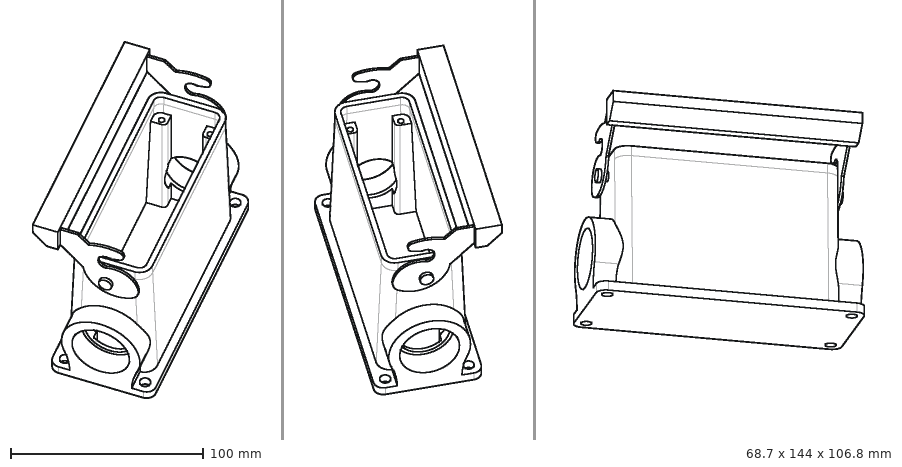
import cadquery as cq
import math

LENGTH = 144.0
PLATE_WIDTH = 57.6
PLATE_HEIGHT = 5.0
PLATE_CORNER_RADIUS = 5.2
PLATE_HOLE_RADIUS = 2.9
PLATE_HOLE_X = 22.3
PLATE_HOLE_Y = 65.7

BOX_TOP = 84.1
RIM_HEIGHT = 5.3
RIM_BOTTOM = BOX_TOP - RIM_HEIGHT
BOX_HALF_LENGTH = 59.9
BOX_TOP_HALF_WIDTH = 21.5
BOX_FOOT_HALF_WIDTH = 24.2
BOX_CORNER_RADIUS = 7.2
WALL = 3.2
CAVITY_FOOT_HALF_LENGTH = 56.3
FLOOR_TOP = PLATE_HEIGHT

POST_TOP = 71.4
POST_INNER_X = 10.0
POST_INNER_Y = 49.1
POST_CORNER_RADIUS = 2.3
SCREW_HOLE_RADIUS = 1.6
SCREW_HOLE_X = 13.5
SCREW_HOLE_Y = 52.0
SCREW_HOLE_DEPTH = 11.5

ENTRY_Z = 27.2
ENTRY_RADIUS = 21.9
ENTRY_FOOT_HALF_WIDTH = 17.3
BORE_RADIUS = 16.0
BORE_DEPTH = 13.4
NECK_RADIUS = 14.0
CONE_END_RADIUS = 10.4

BAR_HALF_LENGTH = 67.0
BAR_LEFT = -39.9
BAR_RIGHT = -25.8
BAR_TOP = 106.8
BAR_BOTTOM = 92.9
BAR_CHAMFER = 7.9
ARM_TOP = 105.7
ARM_INNER_Y = 62.5
ARM_THICKNESS = 1.5
PIVOT_Z = 74.0
PIVOT_RADIUS = 2.6
PIVOT_HEAD_RADIUS = 3.6
PIVOT_HEAD_END_Y = 65.8

ENDS = (-1, 1)
CORNERS = [(sx, sy) for sx in ENDS for sy in ENDS]


def along_y(points, half_length):
    """Prism centred on Y = 0 from a closed polygon of (x, z) points."""
    return cq.Workplane("XZ").polyline(points).close().extrude(half_length, both=True)


def rounded_rectangle(half_width, half_length, radius):
    return cq.Sketch().rect(2 * half_width, 2 * half_length).vertices().fillet(radius)


def cylinder_y(radius, z, y_start, y_end):
    """Cylinder parallel to Y through X = 0."""
    direction = cq.Vector(0, y_end - y_start, 0)
    solid = cq.Solid.makeCylinder(radius, abs(y_end - y_start), cq.Vector(0, y_start, z), direction)
    return cq.Workplane(solid)


def cylinder_z(radius, x, y, z_bottom, z_top):
    solid = cq.Solid.makeCylinder(radius, z_top - z_bottom, cq.Vector(x, y, z_bottom))
    return cq.Workplane(solid)


def outer_box():
    """Solid box with rounded corners, drafted along its sides and straight at the ends."""
    half_outline = [
        (BOX_FOOT_HALF_WIDTH, PLATE_HEIGHT),
        (BOX_TOP_HALF_WIDTH, RIM_BOTTOM),
        (BOX_TOP_HALF_WIDTH, BOX_TOP),
    ]
    mirrored = [(-x, z) for x, z in reversed(half_outline)]
    box = along_y(half_outline + mirrored, BOX_HALF_LENGTH)
    return box.faces("<Y or >Y").edges("not |X").fillet(BOX_CORNER_RADIUS)


def box_cavity():
    """Inside of the box: widens like the outer sides, closes in slightly at the ends."""
    radius = BOX_CORNER_RADIUS - WALL
    rim_outline = rounded_rectangle(BOX_TOP_HALF_WIDTH - WALL, BOX_HALF_LENGTH - WALL, radius)
    foot_outline = rounded_rectangle(BOX_FOOT_HALF_WIDTH - WALL, CAVITY_FOOT_HALF_LENGTH, radius)
    rim_location = cq.Location(cq.Vector(0, 0, RIM_BOTTOM - FLOOR_TOP))
    rim = cq.Workplane("XY").workplane(offset=RIM_BOTTOM).placeSketch(rim_outline).extrude(RIM_HEIGHT)
    lower = (
        cq.Workplane("XY")
        .workplane(offset=FLOOR_TOP)
        .placeSketch(foot_outline, rim_outline.moved(rim_location))
        .loft()
    )
    return lower.union(rim)


def base_plate():
    plate = cq.Workplane("XY").rect(PLATE_WIDTH, LENGTH).extrude(PLATE_HEIGHT)
    return plate.edges("|Z").fillet(PLATE_CORNER_RADIUS)


def entry_block():
    """Round cable entry block over the full length, standing on a flared foot."""
    drop = ENTRY_Z - PLATE_HEIGHT
    foot_radius = (drop**2 + ENTRY_FOOT_HALF_WIDTH**2 - ENTRY_RADIUS**2) / (
        2 * (ENTRY_RADIUS - ENTRY_FOOT_HALF_WIDTH)
    )
    foot_centre_x = ENTRY_FOOT_HALF_WIDTH + foot_radius
    slope = math.atan2(drop, foot_centre_x)
    joint_x = ENTRY_RADIUS * math.cos(slope)
    joint_z = ENTRY_Z - ENTRY_RADIUS * math.sin(slope)
    mid_x = foot_centre_x - foot_radius * math.cos(slope / 2)
    mid_z = PLATE_HEIGHT + foot_radius * math.sin(slope / 2)
    return (
        cq.Workplane("XZ")
        .moveTo(-ENTRY_FOOT_HALF_WIDTH, 0)
        .lineTo(ENTRY_FOOT_HALF_WIDTH, 0)
        .lineTo(ENTRY_FOOT_HALF_WIDTH, PLATE_HEIGHT)
        .threePointArc((mid_x, mid_z), (joint_x, joint_z))
        .threePointArc((0, ENTRY_Z + ENTRY_RADIUS), (-joint_x, joint_z))
        .threePointArc((-mid_x, mid_z), (-ENTRY_FOOT_HALF_WIDTH, PLATE_HEIGHT))
        .close()
        .extrude(LENGTH / 2, both=True)
    )


def screw_post(side_x, side_y, cavity):
    """Upright post with a rounded inner corner, trimmed to the cavity walls."""
    size_x = BOX_FOOT_HALF_WIDTH - POST_INNER_X
    size_y = BOX_HALF_LENGTH - POST_INNER_Y
    post = (
        cq.Workplane("XY")
        .workplane(offset=FLOOR_TOP)
        .center(side_x * (POST_INNER_X + size_x / 2), side_y * (POST_INNER_Y + size_y / 2))
        .rect(size_x, size_y)
        .extrude(POST_TOP - FLOOR_TOP)
    )
    inner_face = "<X" if side_x > 0 else ">X"
    inner_edge = "<Y" if side_y > 0 else ">Y"
    post = post.faces(inner_face).edges("|Z").edges(inner_edge).fillet(POST_CORNER_RADIUS)
    return post.intersect(cavity)


def entry_opening(side_y):
    """Bore from the end face, then a narrower neck that ends in a cone clearing the posts."""
    bore_end = LENGTH / 2 - BORE_DEPTH
    cone_start = POST_INNER_Y + NECK_RADIUS - CONE_END_RADIUS
    bore = cylinder_y(BORE_RADIUS, ENTRY_Z, side_y * LENGTH / 2, side_y * bore_end)
    neck = cylinder_y(NECK_RADIUS, ENTRY_Z, side_y * bore_end, side_y * cone_start)
    cone = cq.Solid.makeCone(
        NECK_RADIUS,
        CONE_END_RADIUS,
        cone_start - POST_INNER_Y,
        cq.Vector(0, side_y * cone_start, ENTRY_Z),
        cq.Vector(0, -side_y, 0),
    )
    return bore.union(neck).union(cq.Workplane(cone))


def make_housing():
    housing = base_plate().union(outer_box()).union(entry_block())
    cavity = box_cavity()
    housing = housing.cut(cavity)
    for side_x, side_y in CORNERS:
        housing = housing.union(screw_post(side_x, side_y, cavity))
    for side_x, side_y in CORNERS:
        screw_x = side_x * SCREW_HOLE_X
        screw_y = side_y * SCREW_HOLE_Y
        housing = housing.cut(
            cylinder_z(SCREW_HOLE_RADIUS, screw_x, screw_y, POST_TOP - SCREW_HOLE_DEPTH, POST_TOP)
        )
        plate_x = side_x * PLATE_HOLE_X
        plate_y = side_y * PLATE_HOLE_Y
        housing = housing.cut(cylinder_z(PLATE_HOLE_RADIUS, plate_x, plate_y, 0, PLATE_HEIGHT))
    for side_y in ENDS:
        housing = housing.cut(entry_opening(side_y))
    return housing


def lever_bar():
    outline = [
        (BAR_LEFT, BAR_TOP),
        (BAR_RIGHT, BAR_TOP),
        (BAR_RIGHT, BAR_BOTTOM),
        (BAR_LEFT + BAR_CHAMFER, BAR_BOTTOM),
        (BAR_LEFT, BAR_BOTTOM + BAR_CHAMFER),
    ]
    return along_y(outline, BAR_HALF_LENGTH)


def lever_arm(side_y):
    """Flat hooked arm, with its inner face on the housing side."""
    inner_y = side_y * ARM_INNER_Y
    return (
        cq.Workplane("XZ", origin=(0, inner_y, 0))
        .moveTo(BAR_RIGHT, ARM_TOP)
        .lineTo(-16.1, ARM_TOP)
        .lineTo(-9.8, 100.0)
        .threePointArc((-0.6, 101.7), (7.5, 100.8))
        .threePointArc((9.6, 97.8), (7.5, 95.0))
        .lineTo(2.2, 93.9)
        .threePointArc((-4.6, 90.1), (-0.1, 85.4))
        .threePointArc((11.5, 84.2), (17.9, 74.2))
        .threePointArc((17.1, 70.1), (13.8, 67.2))
        .threePointArc((5.2, 65.1), (-3.6, 67.4))
        .threePointArc((-9.8, 73.2), (-12.8, 80.8))
        .lineTo(-14.1, 82.1)
        .lineTo(BAR_RIGHT, 93.6)
        .close()
        .extrude(-side_y * ARM_THICKNESS)
    )


def pivot_pin(side_y):
    """Headed pin through the arm, resting against the end wall of the housing."""
    shank = cylinder_y(PIVOT_RADIUS, PIVOT_Z, side_y * BOX_HALF_LENGTH, side_y * PIVOT_HEAD_END_Y)
    head = cylinder_y(PIVOT_HEAD_RADIUS, PIVOT_Z, side_y * ARM_INNER_Y, side_y * PIVOT_HEAD_END_Y)
    return shank.union(head)


def make_lever():
    lever = lever_bar()
    for side_y in ENDS:
        lever = lever.union(lever_arm(side_y)).union(pivot_pin(side_y))
    return lever


housing = make_housing()
lever = make_lever()

result = cq.Compound.makeCompound([housing.val(), lever.val()])